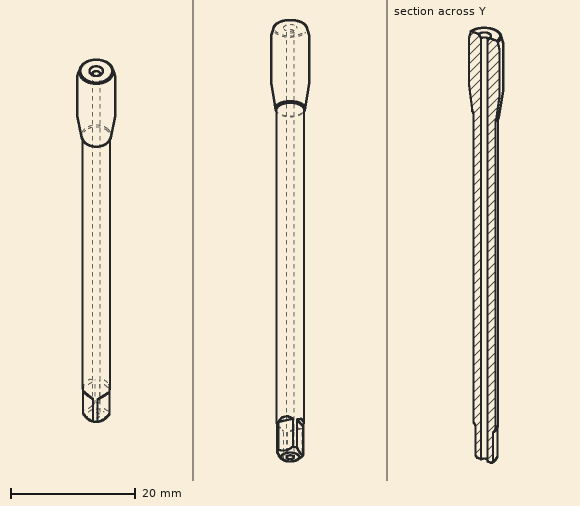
import cadquery as cq

length = 80.0
head_radius = 6.2 / 2
shaft_radius = 4.5 / 2

crown_height = 1.5
crown_edge_radius = 2.7
rim_chamfer = 0.2
taper_top_z = 69.8
taper_bottom_z = 65.0
taper_end_radius = 2.4
taper_chamfer_height = 0.2

drive_length = 6.4
drive_width = 3.5
drive_corner_diameter = 4.3
shoulder_height = 0.3
runout_height = 0.5
tip_chamfer_height = 0.7
tip_radius = 1.4

bore_diameter = 1.2
countersink_diameter = 2.2
countersink_angle = 75


def turned_body():
    """Revolved outer shape of the head, shaft and drive blank."""
    drive_radius = drive_corner_diameter / 2
    return (
        cq.Workplane("XZ")
        .lineTo(tip_radius, 0)
        .lineTo(drive_radius, tip_chamfer_height)
        .lineTo(drive_radius, drive_length)
        .lineTo(shaft_radius, drive_length + shoulder_height)
        .lineTo(shaft_radius, taper_bottom_z - taper_chamfer_height)
        .lineTo(taper_end_radius, taper_bottom_z)
        .lineTo(head_radius, taper_top_z)
        .lineTo(head_radius, length - crown_height)
        .lineTo(crown_edge_radius, length - rim_chamfer)
        .lineTo(crown_edge_radius - rim_chamfer, length)
        .lineTo(0, length)
        .close()
        .revolve(360, (0, 0, 0), (0, 1, 0))
    )


def flat_cutter():
    """Material removed from the +X side to leave one drive flat."""
    flat_x = drive_width / 2
    outer_x = head_radius
    runout_start_z = drive_length - runout_height
    runout_x = drive_corner_diameter / 2
    return (
        cq.Workplane("XZ")
        .polyline([
            (flat_x, 0),
            (outer_x, 0),
            (outer_x, drive_length),
            (runout_x, drive_length),
            (flat_x, runout_start_z),
        ])
        .close()
        .extrude(head_radius, both=True)
    )


result = turned_body()
for side in range(4):
    result = result.cut(flat_cutter().rotate((0, 0, 0), (0, 0, 1), 90 * side))

result = (
    result.faces(">Z")
    .workplane(origin=(0, 0, length))
    .cskHole(bore_diameter, countersink_diameter, countersink_angle)
)